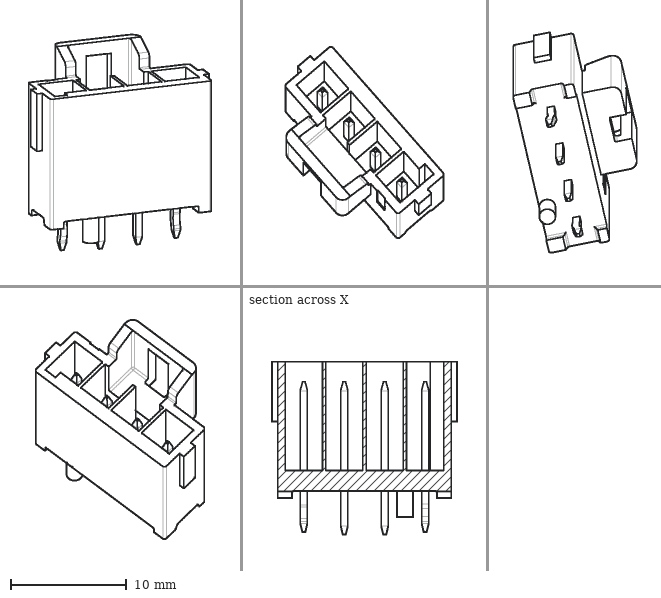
import cadquery as cq
import math


housing_width = 5.37
housing_length = 15.0
housing_height = 11.82
housing_corner_radius = 0.24
cavity_to_outer_wall = 0.82

pin_count = 4
pitch = 3.5
cavity_side = 3.19
cavity_floor_z = 2.4
pin_side = 0.63
pin_top_tip_side = 0.22
pin_bottom_tip_side = 0.27
pin_taper = 0.75
pin_top_z = 10.05
pin_bottom_z = -3.15
kinked_pin_bottom_z = -2.93
kinked_tail_offset = -0.12
kinked_tail_start_z = -2.0

last_pin_kink = (-0.5, (0.043, -0.9), (0.07, -1.15), (0.02, -1.56))
first_pin_kink = (-0.57, (0.03, -0.72), (0.07, -1.06), (-0.05, -1.72))

notch_depth = 0.67
notch_length = 1.17

wing_bottom_z = 6.62

rail_width = 1.45
rail_offset = 1.95
rail_projection = 0.5
groove_width = 1.01
groove_depth = 0.09

latch_projection = 3.31
latch_length = 7.8
latch_top_z = 14.0
latch_outer_radius = 0.75
latch_plate = 1.0
latch_inner_length = 5.88
latch_slope_angle = 25.0
latch_shoulder_gap = 0.24
latch_shoulder_radius = 0.5
latch_root_radius = 0.12
latch_floor_z = 7.94
latch_opening_radius = 0.19

window_length = 2.3
window_depth = 1.5
window_top_z = 12.81
window_corner_radius = 0.15

foot_height = 0.62
foot_length = 1.23
foot_corner_radius = 0.15
inner_foot_width = 0.8
outer_foot_width = 1.47
foot_slope = 0.2
peg_diameter = 1.4
peg_bottom_z = -1.65

cavity_half = cavity_side / 2
housing_left = -cavity_half - cavity_to_outer_wall
housing_right = housing_left + housing_width
latch_left = housing_left - latch_projection
latch_inner_x = latch_left + latch_plate
pin_ys = [pitch * (index - (pin_count - 1) / 2) for index in range(pin_count)]
last_pin_y = pin_ys[0]
first_pin_y = pin_ys[-1]


def block(x_range, y_range, z_range):
    """Box spanning the given coordinate ranges."""
    sizes = [high - low for low, high in (x_range, y_range, z_range)]
    corner = (x_range[0], y_range[0], z_range[0])
    return cq.Workplane("XY").box(*sizes, centered=False).translate(corner)


def centered_range(center, size):
    return (center - size / 2, center + size / 2)


def housing_block():
    body = block(
        (housing_left, housing_right), centered_range(0, housing_length), (0, housing_height)
    )
    return body.edges("|Z").fillet(housing_corner_radius)


def end_rails():
    rail_start = housing_left + rail_offset
    return block(
        (rail_start, rail_start + rail_width),
        centered_range(0, housing_length + 2 * rail_projection),
        (wing_bottom_z, housing_height),
    )


def latch_bracket():
    """Solid bracket: side outline in XZ, extruded along Y, with rounded outer edges."""
    shoulder_x = housing_left - latch_shoulder_gap
    slope_drop = (shoulder_x - latch_inner_x) * math.tan(math.radians(latch_slope_angle))
    root_x = shoulder_x + latch_root_radius
    root_shift = latch_root_radius * (1 - math.sqrt(0.5))
    bracket = (
        cq.Workplane("XZ")
        .moveTo(latch_left, wing_bottom_z)
        .lineTo(latch_left, latch_top_z)
        .lineTo(latch_inner_x, latch_top_z)
        .lineTo(shoulder_x, latch_top_z - slope_drop)
        .lineTo(shoulder_x, housing_height + latch_root_radius)
        .threePointArc((shoulder_x + root_shift, housing_height + root_shift), (root_x, housing_height))
        .lineTo(-cavity_half, housing_height)
        .lineTo(-cavity_half, wing_bottom_z)
        .close()
        .extrude(latch_length / 2, both=True)
    )
    shoulder = cq.selectors.NearestToPointSelector((shoulder_x, 0, latch_top_z - slope_drop))
    bracket = bracket.edges("|Y").edges(shoulder).fillet(latch_shoulder_radius)
    return bracket.edges("|Z and <X").fillet(latch_outer_radius)


def latch_opening():
    """Space behind the latch plate, open upward and into the two middle cavities."""
    opening = block(
        (latch_inner_x, -cavity_half),
        centered_range(0, latch_inner_length),
        (latch_floor_z, latch_top_z),
    )
    return opening.edges("not (>X or >Z)").fillet(latch_opening_radius)


def latch_window():
    window = block(
        (latch_left, latch_left + window_depth),
        centered_range(0, window_length),
        (wing_bottom_z, window_top_z),
    )
    return window.edges("|Z and >X").fillet(window_corner_radius)


def side_groove():
    return block(
        (housing_left, housing_left + groove_depth),
        centered_range(last_pin_y, groove_width),
        (wing_bottom_z, housing_height),
    )


def cavities():
    depth = (cavity_floor_z, housing_height)
    row = cq.Workplane("XY")
    for y in pin_ys:
        row = row.add(block((-cavity_half, cavity_half), centered_range(y, cavity_side), depth))
    notch_y = last_pin_y - cavity_half
    notch = block((0, cavity_half + notch_depth), (notch_y, notch_y + notch_length), depth)
    return row.add(notch).combine()


def underside_slots():
    """Crossing slots that leave a foot at each corner of the housing."""
    slot_start = housing_left + inner_foot_width
    slot_end = housing_right - outer_foot_width
    sloped_slot = (
        cq.Workplane("XZ")
        .polyline([
            (slot_start, 0),
            (slot_start + foot_slope, foot_height),
            (slot_end - foot_slope, foot_height),
            (slot_end, 0),
        ])
        .close()
        .extrude(housing_length / 2, both=True)
    )
    straight_slot = block(
        (housing_left, housing_right),
        centered_range(0, housing_length - 2 * foot_length),
        (0, foot_height),
    )
    sloped_slot = sloped_slot.edges("|Y and >Z").fillet(foot_corner_radius)
    straight_slot = straight_slot.edges("|X and >Z").fillet(foot_corner_radius)
    return sloped_slot.union(straight_slot)


def locating_peg():
    peg = cq.Workplane("XY").circle(peg_diameter / 2).extrude(foot_height - peg_bottom_z)
    return peg.translate((housing_right - peg_diameter / 2, -pitch, peg_bottom_z))


def pin_taper_end(x, y, base_z, tip_z, tip_side):
    return (
        cq.Workplane("XY", origin=(x, y, base_z))
        .rect(pin_side, pin_side)
        .workplane(offset=tip_z - base_z)
        .rect(tip_side, tip_side)
        .loft(ruled=True)
    )


def straight_pin(y):
    taper_top = pin_top_z - pin_taper
    taper_bottom = pin_bottom_z + pin_taper
    shank = block(
        centered_range(0, pin_side), centered_range(y, pin_side), (taper_bottom, taper_top)
    )
    pin = shank.union(pin_taper_end(0, y, taper_top, pin_top_z, pin_top_tip_side))
    return pin.union(pin_taper_end(0, y, taper_bottom, pin_bottom_z, pin_bottom_tip_side))


def kinked_pin(y, direction, lead_start_z, bow_start, bow_peak, bow_end):
    """Pin whose tail bows toward `direction` along X, then ends offset the other way.

    Each bow point is an (offset, z) pair of the pin's centre line.
    """
    taper_top = pin_top_z - pin_taper
    taper_bottom = kinked_pin_bottom_z + pin_taper

    def side_point(side, point):
        return (side * pin_side / 2 + direction * point[0], point[1])

    shank = (
        cq.Workplane("XZ", origin=(0, y, 0))
        .moveTo(*side_point(-1, (0, taper_top)))
        .lineTo(*side_point(-1, (0, lead_start_z)))
        .lineTo(*side_point(-1, bow_start))
        .threePointArc(side_point(-1, bow_peak), side_point(-1, bow_end))
        .lineTo(*side_point(-1, (kinked_tail_offset, kinked_tail_start_z)))
        .lineTo(*side_point(-1, (kinked_tail_offset, taper_bottom)))
        .lineTo(*side_point(1, (kinked_tail_offset, taper_bottom)))
        .lineTo(*side_point(1, (kinked_tail_offset, kinked_tail_start_z)))
        .lineTo(*side_point(1, bow_end))
        .threePointArc(side_point(1, bow_peak), side_point(1, bow_start))
        .lineTo(*side_point(1, (0, lead_start_z)))
        .lineTo(*side_point(1, (0, taper_top)))
        .close()
        .extrude(pin_side / 2, both=True)
    )
    tail_x = direction * kinked_tail_offset
    pin = shank.union(pin_taper_end(0, y, taper_top, pin_top_z, pin_top_tip_side))
    return pin.union(pin_taper_end(tail_x, y, taper_bottom, kinked_pin_bottom_z, pin_bottom_tip_side))


housing = housing_block().union(end_rails()).union(latch_bracket())
for cut in (cavities(), latch_opening(), latch_window(), side_groove(), underside_slots()):
    housing = housing.cut(cut)

result = housing.union(locating_peg())
for y in pin_ys[1:-1]:
    result = result.union(straight_pin(y))
result = result.union(kinked_pin(last_pin_y, 1, *last_pin_kink))
result = result.union(kinked_pin(first_pin_y, -1, *first_pin_kink))